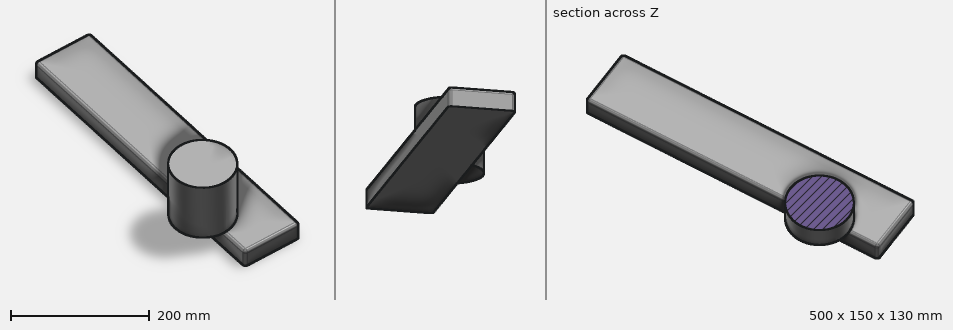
import cadquery as cq

plate_length = 500.0
plate_width = 100.0
plate_thickness = 30.0
edge_radius = 5.0

post_diameter = 100.0
post_height = 100.0
post_x = 400.0
post_y = 0.0


def make_plate():
    """Flat plate with rounded corners and top rim; the bottom rim stays sharp."""
    block = cq.Workplane("XY").box(
        plate_length, plate_width, plate_thickness, centered=False
    )
    return block.edges("|Z or >Z").fillet(edge_radius)


def make_post():
    """Upright cylinder centred on the plate's front edge."""
    return (
        cq.Workplane("XY", origin=(post_x, post_y, plate_thickness))
        .circle(post_diameter / 2)
        .extrude(post_height)
    )


result = make_plate().union(make_post())